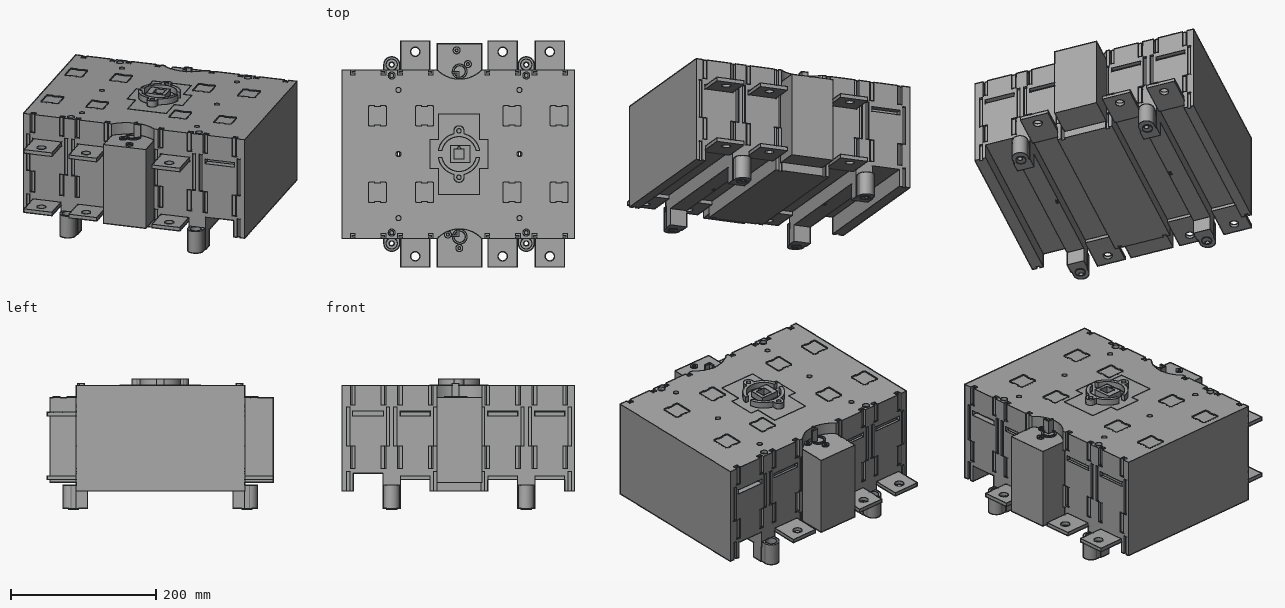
import cadquery as cq


WALL_LEFT = -161.5
WALL_RIGHT = 159.5
HALF_DEPTH = 116.0
FRONT_OVERHANG = 0.6
HOUSING_BOTTOM = 25.0
HOUSING_TOP = 171.0
OVERALL_TOP = 180.0
FACE_Y = {1: HALF_DEPTH, -1: -(HALF_DEPTH + FRONT_OVERHANG)}
SIDES = (1, -1)

POLE_PITCH = 65.0
INNER_POLE = 60.25
POLES = (-INNER_POLE - POLE_PITCH, -INNER_POLE, INNER_POLE, INNER_POLE + POLE_PITCH)
OPENING_WIDTH = 40.5
EMPTY_OPENING_TOP = 49.5

OVERALL_LENGTH = 311.95
TERMINAL_REACH = OVERALL_LENGTH / 2
TERMINAL_WIDTH = 40.5
TERMINAL_THICKNESS = 5.3
LOWER_TERMINAL_BOTTOM = 40.8
TERMINAL_HOLE_DIAMETER = 12.5
TERMINAL_HOLE_Y = 141.0
TERMINAL_ROOT = 10.0
TERMINAL_SLOT_WIDTH = 42.5
TERMINAL_SLOT_BOTTOM = 128.6
TERMINAL_SLOT_TOP = 135.3
CONTACT_SETBACK = 4.0

GROOVE_OFFSET = 17.9
GROOVE_WIDTH = 6.5
GROOVE_DEPTH = 7.2
LIP_WIDTH = 4.5
LIP_SETBACK = 2.0
LIP_THICKNESS = 2.0
UPPER_GROOVE_BOTTOM = 144.0
LOWER_GROOVE_BOTTOM = 56.0
LOWER_GROOVE_TOP = 87.0
STRIP_OFFSET = 27.5
STRIP_WIDTH = 4.4
STRIP_DEPTH = 3.0
MIDDLE_STRIP_TOP = 141.2
BOTTOM_STRIP_TOP = 52.4

MODULE_LEFT = -30.0
MODULE_RIGHT = 31.5
MODULE_BOTTOM = 37.2
MODULE_TOP = 154.0
MODULE_REACH = {1: 152.3, -1: TERMINAL_REACH}
SCALLOP_APEX_Y = 103.2

DIAL_X = 1.0
DIAL_Y = 114.0
DIAL_DIAMETER = 20.2
DIAL_BORE = 15.5
COLLAR_HEIGHT = 1.8
COLLAR_DIAMETER = 9.6
COLLAR_BORE = 4.0
COLLARS = {1: ((-3.2, 143.0), (12.3, 124.0)), -1: ((-15.3, -111.0), (0.4, -129.7))}
LATCH_LENGTH = 9.5
LATCH_THICKNESS = 2.5
LATCH_TOP = 173.5

FOOT_X = INNER_POLE + POLE_PITCH / 2
FOOT_Y = 123.2
FOOT_DIAMETER = 22.0
FOOT_BLOCK_WIDTH = 24.5
FOOT_BLOCK_INNER_Y = 100.0
FOOT_BOTTOM = 1.4
FOOT_TOP = 33.5
FOOT_COUNTERBORE = 15.5
FOOT_COUNTERBORE_DEPTH = 20.0
FOOT_HOLE = 6.6
PAD_DIAMETER = 14.0
PAD_Y = 119.5
SCREW_HEAD_DIAMETER = 9.6
SCREW_HEAD_DEPTH = 5.0
SCREW_HOLE = 5.5
SCREW_HOLE_DEPTH = 20.0
SCREW_Y = 108.3

WINDOW_SHIFT = 12.8
WINDOW_Y = 52.7
WINDOW_WIDTH = 25.0
WINDOW_LENGTH = 28.0
WINDOW_DEPTH = 1.5
WINDOW_CORNER = 2.0
WINDOW_TAB_LENGTH = 8.5
WINDOW_TAB_WIDTH = 1.2
TOP_HOLE_X = 83.4
TOP_HOLE_Y = 88.3
TOP_HOLE_DIAMETER = 7.0
TOP_HOLE_DEPTH = 5.0
THROUGH_SLOT_WIDTH = 2.6
THROUGH_SLOT_LENGTH = 6.0

PLATE_HEIGHT = 0.2
PLATE_LONG = (56.0, 111.0)
PLATE_WIDE = (80.5, 40.5)
RING_OUTER_RADIUS = 28.9
RING_INNER_RADIUS = 24.0
RING_GAP = 10.0
EAR_Y = 32.0
EAR_RADIUS = 7.0
EAR_HOLE = 6.15
HUB_LEFT = -12.0
HUB_RIGHT = 15.5
HUB_LENGTH = 23.5
HUB_HEIGHT = OVERALL_TOP - HOUSING_TOP
SOCKET_SIZE = 14.0
SOCKET_DEPTH = 14.0
ARROW_WIDTH = 6.0
ARROW_DEPTH = 0.5


def box(x1, x2, y1, y2, z1, z2):
    """Block between two opposite corners; each pair may come in either order."""
    size = (abs(x2 - x1), abs(y2 - y1), abs(z2 - z1))
    centre = ((x1 + x2) / 2, (y1 + y2) / 2, (z1 + z2) / 2)
    return cq.Workplane("XY").box(*size).translate(centre)


def centred_box(x, width, y1, y2, z1, z2):
    return box(x - width / 2, x + width / 2, y1, y2, z1, z2)


def cylinder(x, y, diameter, z1, z2):
    return cq.Workplane("XY", origin=(x, y, z1)).circle(diameter / 2).extrude(z2 - z1)


def housing():
    body = box(WALL_LEFT, WALL_RIGHT, FACE_Y[-1], FACE_Y[1], HOUSING_BOTTOM, HOUSING_TOP)
    for pole in POLES:
        top = LOWER_TERMINAL_BOTTOM + TERMINAL_THICKNESS
        if pole == POLES[0]:
            top = EMPTY_OPENING_TOP
        body = body.cut(centred_box(pole, OPENING_WIDTH, FACE_Y[-1], FACE_Y[1], HOUSING_BOTTOM, top))
    return body


def barrier_groove(pole, hand, side, z1, z2):
    """Undercut groove; the lip stands on the edge nearer to the pole."""
    face = FACE_Y[side]
    inner = pole + hand * GROOVE_OFFSET
    groove = box(inner, inner + hand * GROOVE_WIDTH, face, face - side * GROOVE_DEPTH, z1, z2)
    lip_front = face - side * LIP_SETBACK
    lip_back = lip_front - side * LIP_THICKNESS
    return groove.cut(box(inner, inner + hand * LIP_WIDTH, lip_front, lip_back, z1, z2))


def pole_face_cuts(pole, side):
    face = FACE_Y[side]
    cuts = centred_box(pole, TERMINAL_SLOT_WIDTH, face, face - side * TERMINAL_ROOT,
                       TERMINAL_SLOT_BOTTOM, TERMINAL_SLOT_TOP)
    for hand in (1, -1):
        cuts = cuts.union(barrier_groove(pole, hand, side, UPPER_GROOVE_BOTTOM, HOUSING_TOP))
        cuts = cuts.union(barrier_groove(pole, hand, side, LOWER_GROOVE_BOTTOM, LOWER_GROOVE_TOP))
        strip_x = pole + hand * STRIP_OFFSET
        strip_back = face - side * STRIP_DEPTH
        cuts = cuts.union(centred_box(strip_x, STRIP_WIDTH, face, strip_back,
                                      LOWER_GROOVE_TOP, MIDDLE_STRIP_TOP))
        beside_foot = abs(abs(strip_x) - FOOT_X) < FOOT_BLOCK_WIDTH / 2
        if not beside_foot:
            cuts = cuts.union(centred_box(strip_x, STRIP_WIDTH, face, strip_back,
                                          HOUSING_BOTTOM, BOTTOM_STRIP_TOP))
    return cuts


def terminal(pole, side, bottom):
    top = bottom + TERMINAL_THICKNESS
    root = side * (HALF_DEPTH - TERMINAL_ROOT)
    blade = centred_box(pole, TERMINAL_WIDTH, root, side * TERMINAL_REACH, bottom, top)
    return blade.cut(cylinder(pole, side * TERMINAL_HOLE_Y, TERMINAL_HOLE_DIAMETER, bottom, top))


def slot_contact(pole):
    """Contact bar set back inside an upper terminal slot of the -Y face."""
    face = FACE_Y[-1]
    return centred_box(pole, TERMINAL_WIDTH, face + CONTACT_SETBACK, face + TERMINAL_ROOT,
                       TERMINAL_SLOT_BOTTOM, TERMINAL_SLOT_BOTTOM + TERMINAL_THICKNESS)


def scallop(side):
    """Round-backed recess in the housing above a drive module."""
    face = FACE_Y[side]
    middle = (MODULE_LEFT + MODULE_RIGHT) / 2
    return (
        cq.Workplane("XY", origin=(0, 0, MODULE_TOP))
        .moveTo(MODULE_LEFT, face)
        .threePointArc((middle, side * SCALLOP_APEX_Y), (MODULE_RIGHT, face))
        .close()
        .extrude(HOUSING_TOP - MODULE_TOP)
    )


def module(side):
    block = box(MODULE_LEFT, MODULE_RIGHT, side * SCALLOP_APEX_Y,
                side * MODULE_REACH[side], MODULE_BOTTOM, MODULE_TOP)
    collar_top = MODULE_TOP + COLLAR_HEIGHT
    dial = cylinder(DIAL_X, side * DIAL_Y, DIAL_DIAMETER, MODULE_TOP, collar_top)
    dial = dial.cut(cylinder(DIAL_X, side * DIAL_Y, DIAL_BORE, MODULE_TOP, collar_top))
    block = block.union(dial)
    for x, y in COLLARS[side]:
        block = block.union(cylinder(x, y, COLLAR_DIAMETER, MODULE_TOP, collar_top))
        block = block.cut(cylinder(x, y, COLLAR_BORE, MODULE_TOP, collar_top))
    return block.union(latch(side))


def latch(side):
    """Upright L-shaped post with its corner near the middle of the dial."""
    corner_y = side * DIAL_Y
    arm = box(-LATCH_LENGTH, 0, corner_y, corner_y - side * LATCH_THICKNESS, MODULE_TOP, LATCH_TOP)
    leg = box(-LATCH_THICKNESS, 0, corner_y, corner_y - side * LATCH_LENGTH, MODULE_TOP, LATCH_TOP)
    return arm.union(leg)


def foot(x, side):
    post = cylinder(x, side * FOOT_Y, FOOT_DIAMETER, FOOT_BOTTOM, FOOT_TOP)
    post = post.union(centred_box(x, FOOT_DIAMETER, side * HALF_DEPTH, side * FOOT_Y,
                                  FOOT_BOTTOM, FOOT_TOP))
    post = post.union(centred_box(x, FOOT_BLOCK_WIDTH, side * FOOT_BLOCK_INNER_Y, side * HALF_DEPTH,
                                  FOOT_BOTTOM, FOOT_TOP))
    return post.union(cylinder(x, side * PAD_Y, PAD_DIAMETER, 0, FOOT_BOTTOM))


def foot_bore(x, side):
    bore = cylinder(x, side * FOOT_Y, FOOT_HOLE, 0, FOOT_TOP)
    seat = FOOT_TOP - FOOT_COUNTERBORE_DEPTH
    return bore.union(cylinder(x, side * FOOT_Y, FOOT_COUNTERBORE, seat, FOOT_TOP))


def screw_hole(x, side):
    head_floor = HOUSING_TOP - SCREW_HEAD_DEPTH
    hole = cylinder(x, side * SCREW_Y, SCREW_HEAD_DIAMETER, head_floor, HOUSING_TOP)
    return hole.union(cylinder(x, side * SCREW_Y, SCREW_HOLE, HOUSING_TOP - SCREW_HOLE_DEPTH, head_floor))


def window(x, y):
    """Shallow rounded recess with a small tab on each short side."""
    floor = HOUSING_TOP - WINDOW_DEPTH
    recess = (
        cq.Workplane("XY", origin=(x, y, floor))
        .rect(WINDOW_WIDTH, WINDOW_LENGTH)
        .extrude(WINDOW_DEPTH)
        .edges("|Z")
        .fillet(WINDOW_CORNER)
    )
    for side in SIDES:
        edge = y + side * WINDOW_LENGTH / 2
        recess = recess.cut(centred_box(x, WINDOW_TAB_LENGTH, edge, edge - side * WINDOW_TAB_WIDTH,
                                        floor, HOUSING_TOP))
    return recess


def top_holes(x):
    cuts = centred_box(x, THROUGH_SLOT_WIDTH, -THROUGH_SLOT_LENGTH / 2, THROUGH_SLOT_LENGTH / 2,
                       HOUSING_BOTTOM, HOUSING_TOP)
    for y in (-TOP_HOLE_Y, 0, TOP_HOLE_Y):
        cuts = cuts.union(cylinder(x, y, TOP_HOLE_DIAMETER, HOUSING_TOP - TOP_HOLE_DEPTH, HOUSING_TOP))
    return cuts


def drive_mount():
    plate_top = HOUSING_TOP + PLATE_HEIGHT
    plane = cq.Workplane("XY", origin=(0, 0, HOUSING_TOP))
    plate = plane.rect(*PLATE_LONG).extrude(PLATE_HEIGHT)
    plate = plate.union(plane.rect(*PLATE_WIDE).extrude(PLATE_HEIGHT))

    ring = cylinder(0, 0, 2 * RING_OUTER_RADIUS, HOUSING_TOP, OVERALL_TOP)
    for side in SIDES:
        ring = ring.union(cylinder(0, side * EAR_Y, 2 * EAR_RADIUS, HOUSING_TOP, OVERALL_TOP))
        ring = ring.union(centred_box(0, 2 * EAR_RADIUS, side * RING_INNER_RADIUS, side * EAR_Y,
                                      HOUSING_TOP, OVERALL_TOP))
        ring = ring.cut(cylinder(0, side * EAR_Y, EAR_HOLE, plate_top, OVERALL_TOP))
    ring = ring.cut(cylinder(0, 0, 2 * RING_INNER_RADIUS, HOUSING_TOP, OVERALL_TOP))
    ring = ring.cut(box(-RING_OUTER_RADIUS, RING_OUTER_RADIUS, -RING_GAP / 2, RING_GAP / 2,
                        HOUSING_TOP, OVERALL_TOP))

    hub = box(HUB_LEFT, HUB_RIGHT, -HUB_LENGTH / 2, HUB_LENGTH / 2, HOUSING_TOP, HOUSING_TOP + HUB_HEIGHT)
    return plate.union(ring).union(hub)


def socket():
    """Square drive socket with an arrow mark on the hub face beside it."""
    half = SOCKET_SIZE / 2
    hub_top = HOUSING_TOP + HUB_HEIGHT
    hollow = box(-half, half, -half, half, hub_top - SOCKET_DEPTH, hub_top)
    arrow = (
        cq.Workplane("XY", origin=(0, 0, hub_top - ARROW_DEPTH))
        .polyline([(-ARROW_WIDTH / 2, half), (ARROW_WIDTH / 2, half), (0, HUB_LENGTH / 2)])
        .close()
        .extrude(ARROW_DEPTH)
    )
    return hollow.union(arrow)


def build():
    part = housing()
    for side in SIDES:
        for pole in POLES:
            part = part.cut(pole_face_cuts(pole, side))
        part = part.cut(scallop(side)).union(module(side))
        for pole in POLES[1:]:
            part = part.union(terminal(pole, side, LOWER_TERMINAL_BOTTOM))
        for x in (-FOOT_X, FOOT_X):
            part = part.union(foot(x, side)).cut(foot_bore(x, side))
            part = part.cut(screw_hole(x, side))
    for pole in POLES[1:]:
        part = part.union(terminal(pole, 1, TERMINAL_SLOT_BOTTOM))
        part = part.union(slot_contact(pole))
    for pole in POLES:
        for side in SIDES:
            part = part.cut(window(pole + WINDOW_SHIFT, side * WINDOW_Y))
    for x in (-TOP_HOLE_X, TOP_HOLE_X):
        part = part.cut(top_holes(x))
    part = part.union(drive_mount())
    return part.cut(socket())


result = build()